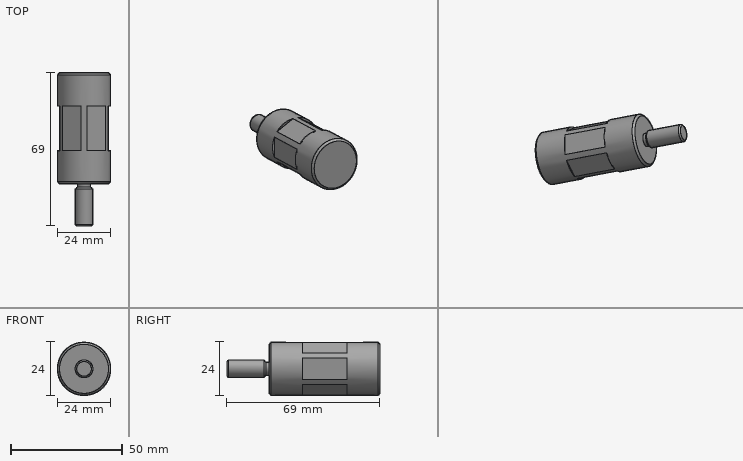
import cadquery as cq

total_length = 69.0
body_diameter = 24.0
body_length = 50.0
body_chamfer = 1.0

stud_diameter = 8.0
stud_tip_diameter = 6.6
neck_diameter = 6.0
neck_length = 1.4

flat_count = 6
across_flats = 22.0
flat_length = 20.0
flat_start = 15.0

stud_length = total_length - body_length
stud_tip_chamfer = (stud_diameter - stud_tip_diameter) / 2
neck_taper = (stud_diameter - neck_diameter) / 2


def make_body():
    """Cylinder from Y = 0 to Y = body_length, chamfered at both ends."""
    cylinder = cq.Workplane("XZ").circle(body_diameter / 2).extrude(-body_length)
    return cylinder.faces("<Y or >Y").chamfer(body_chamfer)


def make_stud():
    """Revolved stud with an undercut neck, a tapered shoulder and a chamfered tip."""
    stud_radius = stud_diameter / 2
    neck_radius = neck_diameter / 2
    profile = (
        cq.Workplane("XY")
        .moveTo(0, 0)
        .lineTo(neck_radius, 0)
        .lineTo(neck_radius, -neck_length)
        .lineTo(stud_radius, -neck_length - neck_taper)
        .lineTo(stud_radius, -stud_length + stud_tip_chamfer)
        .lineTo(stud_tip_diameter / 2, -stud_length)
        .lineTo(0, -stud_length)
        .close()
    )
    return profile.revolve(360, (0, 0, 0), (0, 1, 0))


def make_flat_cutter(angle):
    """Block that removes the body outside one wrench flat."""
    cutter_depth = body_diameter - across_flats
    cutter = cq.Workplane("XY").box(
        cutter_depth, flat_length, body_diameter, centered=(False, False, True)
    )
    return cutter.translate((across_flats / 2, flat_start, 0)).rotate((0, 0, 0), (0, 1, 0), angle)


result = make_body().union(make_stud())
for index in range(flat_count):
    result = result.cut(make_flat_cutter(index * 360 / flat_count))